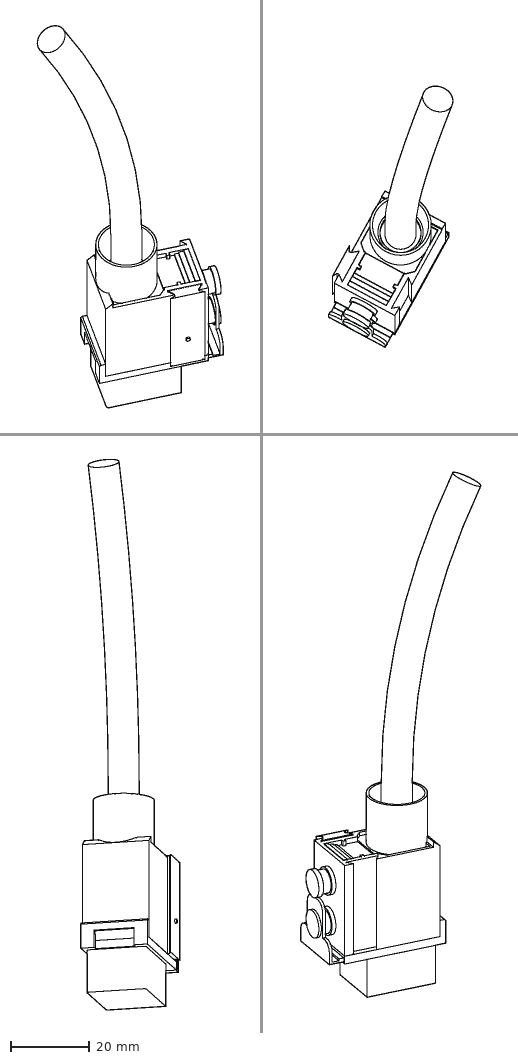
import cadquery as cq
import math

overall_height = 137.8
overall_depth = 47.7

half_width = 8.8
front_y = -8.0
back_y = 19.3
housing_top = 38.9
flange_bottom = 11.2
flange_top = 13.4
lip_front = -9.6
lip_top = 17.9
lip_chamfer = 0.4

plug_half_width = 7.9
plug_front = -7.5
plug_back = 12.4
plug_edge_radius = 0.7

window_half_width = 5.2
window_top = 15.7
window_deep_y = -8.3
window_shallow_y = -8.8

collar_radius = 7.9
collar_top = 51.8
collar_mouth_radius = 7.2
collar_inner_radius = 5.8
collar_bore_floor = 41.3
socket_radius = 5.2
cable_seat = 39.1

ridge_back = -6.0
ridge_top = 40.4

recess_floor = 37.9
throat_floor = 37.5
recess_half_width = 7.9
recess_throat_half_width = 6.0
recess_shoulder_y = 6.8
recess_throat_y = 8.4
recess_front = -5.5
step_half_width = 5.7
step_edges_y = (14.3, 15.5, 16.8, 18.0)
step_height = 0.4
tab_y = 12.5
tab_size = 0.8

dovetail_depth = 1.7
dovetail_y = 13.5
dovetail_mouth = 6.5
dovetail_base = 9.1
strip_top = 39.1
strip_outer_x = 10.0
strip_flare_x = 9.4
bump_radius = 0.5
bump_tip_x = 10.5
bump_z = 22.6

cable_radius = 4.0
bend_radius = 170.9
bend_angle = math.radians(28)
bend_start = overall_height - (bend_radius + cable_radius) * math.sin(bend_angle)
cable_front = (bend_radius - cable_radius) * math.cos(bend_angle) - bend_radius

knob_heights = (19.8, 31.1)
knob_end = cable_front + overall_depth
knob_radius = 3.7
knob_neck_radius = 3.2
knob_head_length = 1.4
knob_base_length = 1.1

bracket_half_width = 8.3
bracket_thickness = 0.8
bracket_outer_y = 23.4
bracket_bottom = 11.6
bracket_leg_thickness = 0.5
bracket_foot_length = 1.4
bracket_foot_top = 12.7
bracket_shoulder = 17.5
bracket_corner_radius = 2.8
bracket_tongue_half_width = 4.4
bracket_top = 27.1


def block(x_range, y_range, z_range):
    """Box between the given limits along each axis."""
    lengths = [high - low for low, high in (x_range, y_range, z_range)]
    corner = (x_range[0], y_range[0], z_range[0])
    return cq.Workplane("XY").box(*lengths, centered=False).translate(corner)


def centred_block(half_x, y_range, z_range):
    """Box symmetric about X = 0."""
    return block((-half_x, half_x), y_range, z_range)


def upright_cylinder(radius, bottom, top):
    return cq.Workplane("XY").workplane(offset=bottom).circle(radius).extrude(top - bottom)


def side_profile(points, half_x):
    """Prism along X with a (Y, Z) outline, symmetric about X = 0."""
    return cq.Workplane("YZ").polyline(points).close().extrude(half_x, both=True)


def make_strip_profile(points):
    """Prism with an (X, Y) outline from the flange to the top of the coupling strip."""
    base = cq.Workplane("XY").workplane(offset=flange_top)
    return base.polyline(points).close().extrude(strip_top - flange_top)


def make_dovetail(side):
    """Dovetail that widens inwards from the side face at X = side * half_width."""
    mouth_x = side * half_width
    base_x = side * (half_width - dovetail_depth)
    return make_strip_profile([
        (mouth_x, dovetail_y - dovetail_mouth / 2),
        (mouth_x, dovetail_y + dovetail_mouth / 2),
        (base_x, dovetail_y + dovetail_base / 2),
        (base_x, dovetail_y - dovetail_base / 2),
    ])


def make_lip():
    """Flange front that rises as a lip with a chamfered top edge."""
    return side_profile([
        (front_y, flange_bottom),
        (lip_front, flange_bottom),
        (lip_front, lip_top - lip_chamfer),
        (lip_front + lip_chamfer, lip_top),
        (front_y, lip_top),
    ], half_width)


def make_window():
    """Snap window, open at the bottom, with a ramp in its upper part."""
    return side_profile([
        (lip_front, flange_bottom),
        (window_deep_y, flange_bottom),
        (window_deep_y, flange_top),
        (window_shallow_y, window_top),
        (lip_front, window_top),
    ], window_half_width)


def make_plug():
    plug = centred_block(plug_half_width, (plug_front, plug_back), (0, flange_bottom))
    return plug.edges("|Z and <Y").fillet(plug_edge_radius)


def make_ridge():
    """Wedge that slopes up from the front edge of the top."""
    return side_profile([
        (front_y, housing_top),
        (ridge_back, ridge_top),
        (ridge_back, housing_top),
    ], half_width)


def make_recess():
    """Recess in the top that narrows behind the collar, with steps and two side tabs."""
    outline = [
        (recess_half_width, recess_front),
        (recess_half_width, recess_shoulder_y),
        (recess_throat_half_width, recess_throat_y),
    ]
    mirrored = [(-x, y) for x, y in reversed(outline)]
    base = cq.Workplane("XY").workplane(offset=recess_floor)
    recess = base.polyline(outline + mirrored).close().extrude(housing_top - recess_floor)
    throat_z = (throat_floor, housing_top)
    recess = recess.union(centred_block(step_half_width, (recess_throat_y, step_edges_y[-1]), throat_z))
    for number, y_limits in enumerate(zip(step_edges_y, step_edges_y[1:]), start=1):
        step_z = (throat_floor, throat_floor + number * step_height)
        recess = recess.cut(centred_block(step_half_width, y_limits, step_z))
    for side in (-1, 1):
        x_limits = sorted((side * step_half_width, side * (step_half_width - tab_size)))
        y_limits = (tab_y - tab_size / 2, tab_y + tab_size / 2)
        recess = recess.cut(block(x_limits, y_limits, throat_z))
    return recess


def make_collar_bore():
    """Tapered bore that narrows from the mouth of the collar down to its floor."""
    base = cq.Workplane("XY").workplane(offset=collar_bore_floor).circle(collar_inner_radius)
    mouth = base.workplane(offset=collar_top - collar_bore_floor).circle(collar_mouth_radius)
    return mouth.loft(ruled=True)


def make_housing():
    housing = centred_block(half_width, (front_y, back_y), (flange_top, housing_top))
    housing = housing.union(make_ridge()).cut(make_recess())
    for side in (-1, 1):
        housing = housing.cut(make_dovetail(side))
    housing = housing.union(upright_cylinder(collar_radius, throat_floor, collar_top))
    housing = housing.cut(make_collar_bore())
    return housing.cut(upright_cylinder(socket_radius, cable_seat, collar_bore_floor))


def make_cable():
    """Round cable: straight from its seat, then bent towards -Y."""
    end_y = bend_radius * (math.cos(bend_angle) - 1)
    end_z = bend_start + bend_radius * math.sin(bend_angle)
    half_angle = bend_angle / 2
    middle_y = bend_radius * (math.cos(half_angle) - 1)
    middle_z = bend_start + bend_radius * math.sin(half_angle)
    path = (
        cq.Workplane("YZ")
        .moveTo(0, cable_seat)
        .lineTo(0, bend_start)
        .threePointArc((middle_y, middle_z), (end_y, end_z))
    )
    return cq.Workplane("XY").workplane(offset=cable_seat).circle(cable_radius).sweep(path)


def make_coupling_strip():
    """Strip that fills the +X groove and flares again outside the housing."""
    inside = make_dovetail(1)
    near_y = dovetail_y - dovetail_mouth / 2
    far_y = dovetail_y + dovetail_mouth / 2
    outside = make_strip_profile([
        (half_width, near_y),
        (strip_flare_x, near_y),
        (strip_outer_x, dovetail_y - dovetail_base / 2),
        (strip_outer_x, dovetail_y + dovetail_base / 2),
        (strip_flare_x, far_y),
        (half_width, far_y),
    ])
    bump = (
        cq.Workplane("YZ", origin=(strip_outer_x, dovetail_y, bump_z))
        .circle(bump_radius)
        .extrude(bump_tip_x - strip_outer_x)
    )
    return inside.union(outside).union(bump)


def make_knob(height):
    """Turned knob on the back face: base flange, neck and head along +Y."""
    head_start = knob_end - knob_head_length
    base_end = back_y + knob_base_length
    profile = [
        (0, back_y),
        (knob_radius, back_y),
        (knob_radius, base_end),
        (knob_neck_radius, base_end),
        (knob_neck_radius, head_start),
        (knob_radius, head_start),
        (knob_radius, knob_end),
        (0, knob_end),
    ]
    knob = cq.Workplane("XY").polyline(profile).close().revolve(360, (0, 0, 0), (0, 1, 0))
    return knob.translate((0, 0, height))


def make_bracket():
    """Leg with a thicker foot at the flange, and an upright plate round the lower knob."""
    plate_y = (bracket_outer_y - bracket_thickness, bracket_outer_y)
    foot_y = (back_y, back_y + bracket_foot_length)
    leg_z = (bracket_bottom, bracket_bottom + bracket_leg_thickness)
    leg = centred_block(bracket_half_width, (back_y, bracket_outer_y), leg_z)
    foot = centred_block(bracket_half_width, foot_y, (bracket_bottom, bracket_foot_top))
    plate = centred_block(bracket_half_width, plate_y, (bracket_bottom, bracket_shoulder))
    plate = plate.edges("|Y and >Z").fillet(bracket_corner_radius)
    tongue = centred_block(bracket_tongue_half_width, plate_y, (leg_z[1], bracket_top))
    tongue = tongue.edges("|Y and >Z").fillet(bracket_corner_radius)
    knob_hole = (
        cq.Workplane("XZ", origin=(0, bracket_outer_y, knob_heights[0]))
        .circle(knob_radius)
        .extrude(bracket_thickness)
    )
    return leg.union(foot).union(plate).union(tongue).cut(knob_hole)


def make_plug_base():
    """Plug and flange with the windowed lip in front and the bracket behind."""
    flange = centred_block(half_width, (front_y, back_y), (flange_bottom, flange_top))
    base = flange.union(make_lip()).cut(make_window())
    return base.union(make_plug()).union(make_bracket())


housing = make_housing()
plug_base = make_plug_base()
cable = make_cable()
coupling_strip = make_coupling_strip()
knobs = [make_knob(height) for height in knob_heights]

result = cq.Compound.makeCompound([
    housing.val(),
    plug_base.val(),
    cable.val(),
    coupling_strip.val(),
    *[knob.val() for knob in knobs],
])